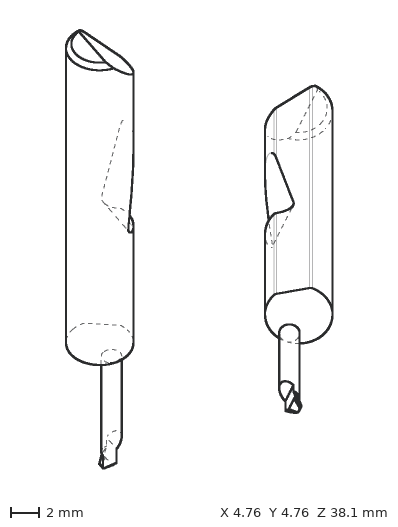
import cadquery as cq
import math

total_height = 38.1
shank_radius = 2.38
shank_bottom = 10.17
top_chamfer = 0.38
top_edge_y = -0.6

flat_distance = 2.0
flat_normal_angle = 145.0
flat_edge_radius = 0.38

notch_bottom = 21.1
notch_floor_y = 1.1
notch_radius = 0.88
notch_slope_angle = 9.0

neck_radius = 0.72
neck_x = shank_radius - neck_radius
neck_bottom = 0.08
relief_start = 2.05
heel_width = 0.6
heel_height = 0.7

nose_depth = neck_radius
nose_top = 1.2
nose_inner_x = 1.7
nose_top_x = 0.95
nose_side = (0.6, 0.15)
nose_point = (0.72, 0.0)
nose_end_x = 0.85
nose_side_relief = 0.57


def side_prism(yz_points):
    """Cutter with a YZ outline, spanning the shank in X."""
    return cq.Workplane("YZ").polyline(yz_points).close().extrude(shank_radius, both=True)


def make_flatted_cylinder():
    height = total_height - shank_bottom
    cylinder = cq.Workplane("XY").workplane(offset=shank_bottom).circle(shank_radius).extrude(height)
    cutter = (
        cq.Workplane("XY")
        .box(shank_radius, 2 * shank_radius, total_height, centered=(False, True, False))
        .translate((flat_distance, 0, 0))
        .rotate((0, 0, 0), (0, 0, 1), flat_normal_angle)
    )
    return cylinder.cut(cutter)


def round_flat_edges(shank):
    """Round the two long edges where the flat meets the cylinder."""
    half_chord = math.sqrt(shank_radius**2 - flat_distance**2)
    half_angle = math.degrees(math.atan2(half_chord, flat_distance))
    middle_z = (total_height + shank_bottom) / 2
    for side in (-1, 1):
        angle = math.radians(flat_normal_angle + side * half_angle)
        corner = (shank_radius * math.cos(angle), shank_radius * math.sin(angle), middle_z)
        nearest = cq.selectors.NearestToPointSelector(corner)
        shank = shank.edges("|Z").edges(nearest).fillet(flat_edge_radius)
    return shank


def shape_top_end(shank):
    """Chamfer the top rim, then slope the +Y side down at 45 degrees."""
    slope_drop = shank_radius - top_edge_y
    return shank.faces(">Z").edges().chamfer(top_chamfer).cut(side_prism([
        (top_edge_y, total_height),
        (shank_radius, total_height - slope_drop),
        (shank_radius, total_height),
    ]))


def make_notch():
    """Sloped recess ending in an arc and a square step."""
    slope = math.radians(notch_slope_angle)
    center_y = notch_floor_y + notch_radius
    center_z = notch_bottom + notch_radius
    tangent_y = center_y - notch_radius * math.cos(slope)
    tangent_z = center_z + notch_radius * math.sin(slope)
    slope_top = tangent_z + (shank_radius - tangent_y) / math.tan(slope)
    middle_angle = (math.radians(270) + math.pi - slope) / 2
    arc_middle = (
        center_y + notch_radius * math.cos(middle_angle),
        center_z + notch_radius * math.sin(middle_angle),
    )
    return (
        cq.Workplane("YZ")
        .moveTo(shank_radius, slope_top)
        .lineTo(tangent_y, tangent_z)
        .threePointArc(arc_middle, (center_y, notch_bottom))
        .lineTo(shank_radius, notch_bottom)
        .close()
        .extrude(shank_radius, both=True)
    )


def make_neck():
    """Round neck, halved near its end, with a sloped heel and a seat for the nose."""
    height = shank_bottom - neck_bottom
    base = cq.Workplane("XY").workplane(offset=neck_bottom)
    neck = base.center(neck_x, 0).circle(neck_radius).extrude(height)
    neck = neck.cut(side_prism([
        (0, 0),
        (0, relief_start),
        (shank_radius, relief_start + shank_radius),
        (shank_radius, 0),
    ]))
    heel = (
        cq.Workplane("XZ")
        .polyline([
            (shank_radius - heel_width, neck_bottom),
            (shank_radius, neck_bottom + heel_height),
            (shank_radius, neck_bottom),
        ])
        .close()
        .extrude(neck_radius, both=True)
    )
    nose_seat = cq.Workplane("XY").box(
        nose_inner_x, 2 * neck_radius, nose_top, centered=(False, True, False)
    )
    return neck.cut(heel).cut(nose_seat)


def make_nose():
    """Nose tapering back from its cutting outline at Y = 0."""
    cutting_outline = [
        (nose_top_x, nose_top),
        nose_side,
        nose_point,
        (nose_end_x, neck_bottom),
        (nose_inner_x, neck_bottom),
        (nose_inner_x, nose_top),
    ]
    back_outline = [
        (min(x + nose_side_relief, nose_inner_x), nose_top if z == nose_top else neck_bottom)
        for x, z in cutting_outline
    ]
    return (
        cq.Workplane("XZ")
        .polyline(cutting_outline)
        .close()
        .workplane(offset=nose_depth)
        .polyline(back_outline)
        .close()
        .loft(ruled=True)
    )


shank = round_flat_edges(make_flatted_cylinder())
shank = shape_top_end(shank).cut(make_notch())
result = shank.union(make_neck()).union(make_nose())